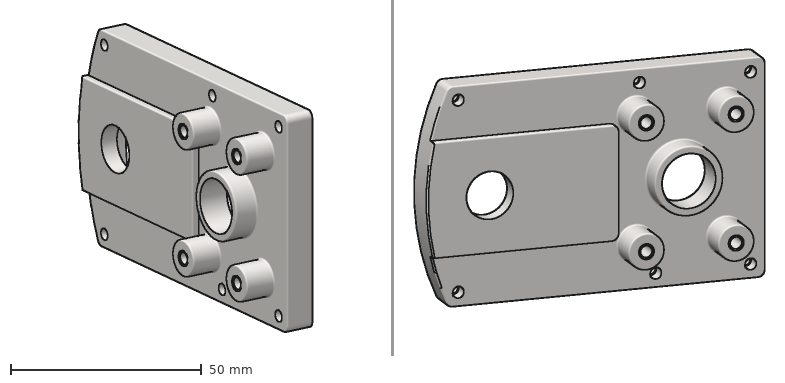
import cadquery as cq
import math

length = 95.0
height = 60.0
plate_thickness = 8.0
end_radius = 70.0
corner_radius = 2.0
edge_round = 0.5

pocket_depth = 6.0
rim_width = 7.8

pad_end_x = 53.6
pad_height = 31.5
pad_top = 10.0
pad_corner = 2.0

shaft_x = 17.6
shaft_diameter = 13.0
shaft_boss_diameter = 16.8
shaft_boss_start = 5.0

collar_x = 71.3
collar_diameter = 19.0
collar_bore = 14.9
collar_top = 14.5

standoff_diameter = 10.0
standoff_top = 16.5
standoff_spacing_x = 25.0
standoff_spacing_z = 35.1
thread_diameter = 3.2
thread_depth = standoff_top - plate_thickness
thread_mouth_diameter = 4.2
thread_mouth_depth = 0.3

screw_diameter = 2.6
screw_mouth_diameter = 3.1
screw_mouth_depth = plate_thickness / 2
screw_row_z = 26.1
upper_screw_x = [9.5, 59.9, 90.9]
lower_screw_x = [9.5, 64.5, 90.9]


def plane_at(y):
    """XZ sketch plane at depth y; extrusions run toward -Y."""
    return cq.Workplane("XZ", origin=(0, -y, 0))


def plate_outline(thickness, inset=0.0):
    """Plate blank: rectangle whose left end is a shallow arc, with rounded corners.

    A positive inset moves every side inward by that amount, the arc staying concentric.
    """
    half = height / 2 - inset
    right = length - inset
    end_sag = end_radius - math.sqrt((end_radius - inset) ** 2 - half**2)
    return (
        plane_at(0)
        .moveTo(end_sag, -half)
        .lineTo(right, -half)
        .lineTo(right, half)
        .lineTo(end_sag, half)
        .threePointArc((inset, 0), (end_sag, -half))
        .close()
        .extrude(thickness)
        .edges("|Y")
        .fillet(corner_radius)
    )


def make_plate():
    return plate_outline(plate_thickness).faces("<Y").edges().fillet(edge_round)


def make_pad():
    """Pad trimmed by the plate outline so that it follows the curved end."""
    block = (
        plane_at(0)
        .center(pad_end_x / 2, 0)
        .rect(pad_end_x, pad_height)
        .extrude(pad_top)
        .edges("|Y and >X")
        .fillet(pad_corner)
    )
    return block.intersect(plate_outline(pad_top)).faces("<Y").edges().fillet(edge_round)


def make_post(x, z, diameter, top):
    """Round post with a rounded rim and a small fillet where it meets the plate."""
    radius = diameter / 2
    diagonal = edge_round * math.sqrt(0.5)
    flare_radius = radius + edge_round
    flare_end = -plate_thickness - edge_round
    rim_radius = radius - edge_round
    rim_start = -top + edge_round
    profile = (
        cq.Workplane("XY")
        .lineTo(flare_radius, 0)
        .lineTo(flare_radius, -plate_thickness)
        .threePointArc((flare_radius - diagonal, flare_end + diagonal), (radius, flare_end))
        .lineTo(radius, rim_start)
        .threePointArc((rim_radius + diagonal, rim_start - diagonal), (rim_radius, -top))
        .lineTo(0, -top)
        .close()
    )
    return profile.revolve(360, (0, 0, 0), (0, 1, 0)).translate((x, 0, z))


def cylinders(points, diameter, start=0.0, end=standoff_top):
    """Round bars along Y between two heights above the back face."""
    return plane_at(start).pushPoints(points).circle(diameter / 2).extrude(end - start)


standoff_points = [
    (collar_x + side * standoff_spacing_x / 2, level * standoff_spacing_z / 2)
    for side in (-1, 1)
    for level in (-1, 1)
]
screw_points = [(x, screw_row_z) for x in upper_screw_x] + [(x, -screw_row_z) for x in lower_screw_x]

result = make_plate().union(make_pad())
result = result.union(make_post(collar_x, 0, collar_diameter, collar_top))
for x, z in standoff_points:
    result = result.union(make_post(x, z, standoff_diameter, standoff_top))
result = result.cut(plate_outline(pocket_depth, rim_width))
result = result.union(cylinders([(shaft_x, 0)], shaft_boss_diameter, shaft_boss_start, plate_thickness))
result = result.cut(cylinders(standoff_points, thread_diameter, standoff_top - thread_depth))
result = result.cut(cylinders(standoff_points, thread_mouth_diameter, standoff_top - thread_mouth_depth))
result = result.cut(cylinders(screw_points, screw_diameter))
result = result.cut(cylinders(screw_points, screw_mouth_diameter, plate_thickness - screw_mouth_depth))
result = result.cut(cylinders([(shaft_x, 0)], shaft_diameter))
result = result.cut(cylinders([(collar_x, 0)], collar_bore))